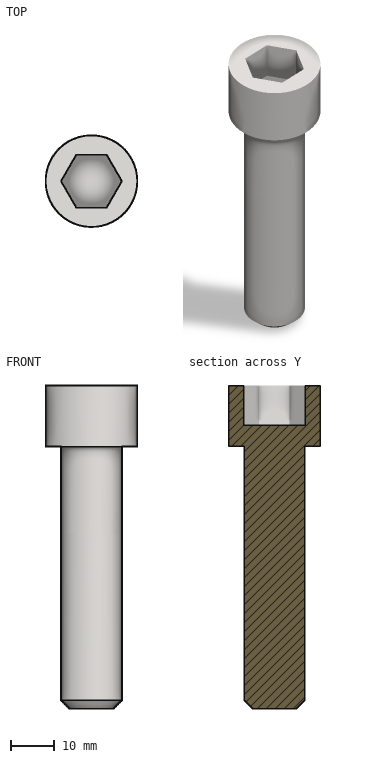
import cadquery as cq
import math

total_length = 74.0
head_diameter = 21.0
head_height = 14.0
thread_diameter = 14.0
thread_length = 40.0
tip_chamfer = 2.0
socket_across_flats = 12.05
socket_depth = 9.0

head_base = total_length - head_height
socket_across_corners = socket_across_flats / math.cos(math.pi / 6)


def make_shank():
    """Threaded length with a chamfered tip, and the plain length above it."""
    thread = cq.Workplane("XY").circle(thread_diameter / 2).extrude(thread_length)
    thread = thread.faces("<Z").chamfer(tip_chamfer)
    plain = (
        cq.Workplane("XY")
        .workplane(offset=thread_length)
        .circle(thread_diameter / 2)
        .extrude(head_base - thread_length)
    )
    return thread.union(plain, clean=False)


def make_head():
    """Cylindrical head with a hexagonal socket, corners along X."""
    head = (
        cq.Workplane("XY")
        .workplane(offset=head_base)
        .circle(head_diameter / 2)
        .extrude(head_height)
    )
    socket = (
        cq.Workplane("XY")
        .workplane(offset=total_length - socket_depth)
        .polygon(6, socket_across_corners)
        .extrude(socket_depth)
    )
    return head.cut(socket)


result = make_shank().union(make_head(), clean=False)